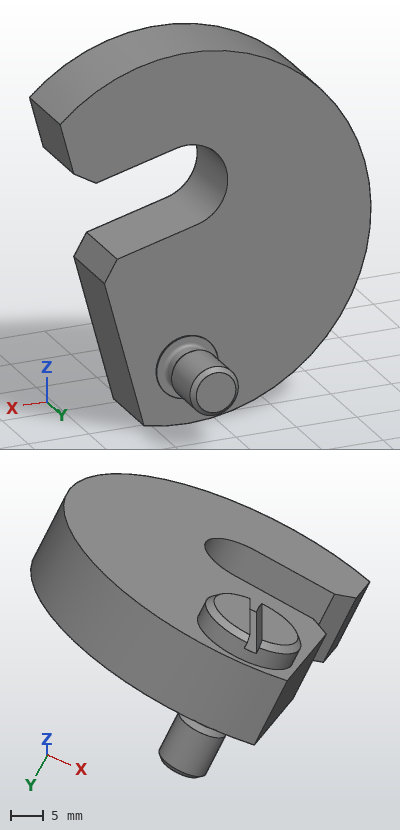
import cadquery as cq
import math

disc_radius = 30.45
plate_thickness = 11.75
opening_tilt = 15.0
flat_distance = 14.5
slot_centre_height = 8.5
slot_radius = 6.75
mouth_chamfer = 3.0

screw_drop = 21.05
head_diameter = 16.0
head_height = 3.85
head_chamfer = 1.0
drive_width = 2.0
drive_depth = 2.0
flange_diameter = 10.15
flange_thickness = 0.3
stud_diameter = 8.0
stud_length = 11.2
tip_chamfer = 0.75
neck_diameter = 6.8
neck_end = 2.4
neck_fillet = 0.55
taper_length = 1.05


def make_plate():
    tilt = math.radians(opening_tilt)
    slot_x = -slot_centre_height * math.sin(tilt)
    slot_z = slot_centre_height * math.cos(tilt)
    slot_top = slot_z + slot_radius
    slot_bottom = slot_z - slot_radius
    chamfer_start = flat_distance - mouth_chamfer
    flat_half_length = math.sqrt(disc_radius**2 - flat_distance**2)

    profile = (
        cq.Workplane("XZ")
        .moveTo(flat_distance, flat_half_length)
        .lineTo(flat_distance, slot_top + mouth_chamfer)
        .lineTo(chamfer_start, slot_top)
        .lineTo(slot_x, slot_top)
        .threePointArc((slot_x - slot_radius, slot_z), (slot_x, slot_bottom))
        .lineTo(chamfer_start, slot_bottom)
        .lineTo(flat_distance, slot_bottom - mouth_chamfer)
        .lineTo(flat_distance, -flat_half_length)
        .threePointArc((-disc_radius, 0), (flat_distance, flat_half_length))
        .close()
    )
    plate = profile.extrude(-plate_thickness)
    return plate.rotate((0, 0, 0), (0, 1, 0), opening_tilt)


def make_screw():
    head_radius = head_diameter / 2
    flange_radius = flange_diameter / 2
    stud_radius = stud_diameter / 2
    neck_radius = neck_diameter / 2
    back = plate_thickness
    flange_face = back + flange_thickness
    tip = back + stud_length
    fillet_middle = neck_fillet * (1 - math.sqrt(0.5))

    body = (
        cq.Workplane("XY")
        .moveTo(0, -head_height)
        .lineTo(head_radius - head_chamfer, -head_height)
        .lineTo(head_radius, -head_height + head_chamfer)
        .lineTo(head_radius, 0)
        .lineTo(flange_radius, 0)
        .lineTo(flange_radius, flange_face)
        .lineTo(neck_radius + neck_fillet, flange_face)
        .threePointArc(
            (neck_radius + fillet_middle, flange_face + fillet_middle),
            (neck_radius, flange_face + neck_fillet),
        )
        .lineTo(neck_radius, back + neck_end)
        .lineTo(stud_radius, back + neck_end + taper_length)
        .lineTo(stud_radius, tip - tip_chamfer)
        .lineTo(stud_radius - tip_chamfer, tip)
        .lineTo(0, tip)
        .close()
        .revolve(360, (0, 0, 0), (0, 1, 0))
    )
    drive_slot = cq.Workplane("XY").box(drive_width, drive_depth, head_diameter)
    drive_slot = drive_slot.translate((0, -head_height + drive_depth / 2, 0))
    return body.cut(drive_slot).translate((0, 0, -screw_drop))


result = make_plate().union(make_screw())